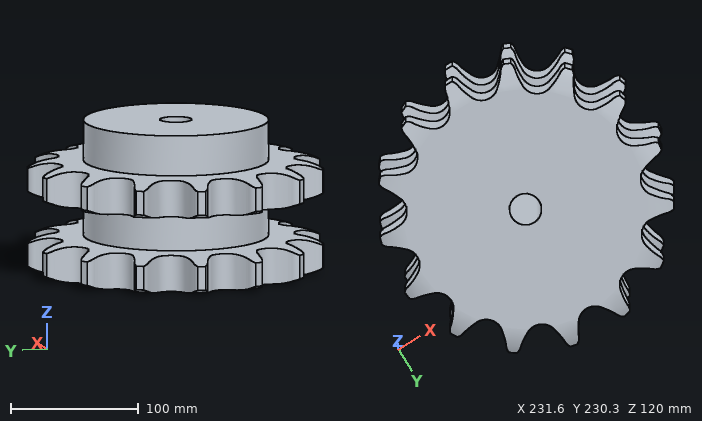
import cadquery as cq
import math


HUB_DIAMETER = 145.0
BORE_DIAMETER = 25.0
TOTAL_HEIGHT = 120.0

DISC_THICKNESS = 28.7
DISC_SPACING = 59.5
DISC_COUNT = 2

TOOTH_COUNT = 15
TOOTH_PITCH_ANGLE = 360 / TOOTH_COUNT
FIRST_TOOTH_ANGLE = -90
ROOT_RADIUS = 92.7
SEAT_END = (9.7, 99.0)
FLANK_HOLLOW = (7.9, 103.3)
STRAIGHT_START = (6.5, 107.5)
STRAIGHT_END = (5.8, 110.3)
TIP_BULGE = (4.9, 113.5)
TIP_HALF_WIDTH = 3.0

OVERALL_WIDTH = 231.6
WIDEST_TOOTH_TILT = math.radians(TOOTH_PITCH_ANGLE / 4)
TIP_DISTANCE = (
    OVERALL_WIDTH / 2 - TIP_HALF_WIDTH * math.sin(WIDEST_TOOTH_TILT)
) / math.cos(WIDEST_TOOTH_TILT)
TIP_CORNER = (TIP_HALF_WIDTH, TIP_DISTANCE)

RELIEF_START_RADIUS = 95.7
RELIEF_ARC_RADIUS = 44.5
RELIEF_OUTER_RADIUS = 120.5


def rotated(point, angle):
    """Turn a point about the Z axis by an angle in degrees."""
    turn = math.radians(angle)
    x, y = point
    return (
        x * math.cos(turn) - y * math.sin(turn),
        x * math.sin(turn) + y * math.cos(turn),
    )


def tooth_point(tooth, point, side):
    """Place a tooth outline point; side is -1 for the clockwise half, 1 for the other."""
    half_width, distance = point
    return rotated((distance, side * half_width), FIRST_TOOTH_ANGLE + tooth * TOOTH_PITCH_ANGLE)


def toothed_outline():
    """Closed counter-clockwise outline of all teeth and roller seats."""
    outline = cq.Workplane("XY").moveTo(*tooth_point(0, SEAT_END, -1))
    for tooth in range(TOOTH_COUNT):
        seat_angle = FIRST_TOOTH_ANGLE + (tooth + 0.5) * TOOTH_PITCH_ANGLE
        outline = (
            outline
            .threePointArc(tooth_point(tooth, FLANK_HOLLOW, -1), tooth_point(tooth, STRAIGHT_START, -1))
            .lineTo(*tooth_point(tooth, STRAIGHT_END, -1))
            .threePointArc(tooth_point(tooth, TIP_BULGE, -1), tooth_point(tooth, TIP_CORNER, -1))
            .lineTo(*tooth_point(tooth, TIP_CORNER, 1))
            .threePointArc(tooth_point(tooth, TIP_BULGE, 1), tooth_point(tooth, STRAIGHT_END, 1))
            .lineTo(*tooth_point(tooth, STRAIGHT_START, 1))
            .threePointArc(tooth_point(tooth, FLANK_HOLLOW, 1), tooth_point(tooth, SEAT_END, 1))
            .threePointArc(rotated((ROOT_RADIUS, 0), seat_angle), tooth_point(tooth + 1, SEAT_END, -1))
        )
    return outline.close()


def relief_envelope():
    """Disc whose rim curves in towards both faces, limiting the thickness of the teeth."""
    reach = RELIEF_OUTER_RADIUS - RELIEF_START_RADIUS

    def relief_depth(distance):
        return RELIEF_ARC_RADIUS - math.sqrt(RELIEF_ARC_RADIUS**2 - distance**2)

    mid_radius = RELIEF_START_RADIUS + reach / 2
    mid_depth = relief_depth(reach / 2)
    rim_depth = relief_depth(reach)
    return (
        cq.Workplane("XZ")
        .lineTo(RELIEF_START_RADIUS, 0)
        .threePointArc((mid_radius, mid_depth), (RELIEF_OUTER_RADIUS, rim_depth))
        .lineTo(RELIEF_OUTER_RADIUS, DISC_THICKNESS - rim_depth)
        .threePointArc((mid_radius, DISC_THICKNESS - mid_depth), (RELIEF_START_RADIUS, DISC_THICKNESS))
        .lineTo(0, DISC_THICKNESS)
        .close()
        .revolve(360, (0, 0, 0), (0, 1, 0))
    )


def toothed_disc():
    return toothed_outline().extrude(DISC_THICKNESS).intersect(relief_envelope())


def sprocket():
    body = cq.Workplane("XY").circle(HUB_DIAMETER / 2).extrude(TOTAL_HEIGHT)
    disc = toothed_disc()
    for index in range(DISC_COUNT):
        body = body.union(disc.translate((0, 0, index * DISC_SPACING)))
    bore = cq.Workplane("XY").circle(BORE_DIAMETER / 2).extrude(TOTAL_HEIGHT)
    return body.cut(bore)


result = sprocket()